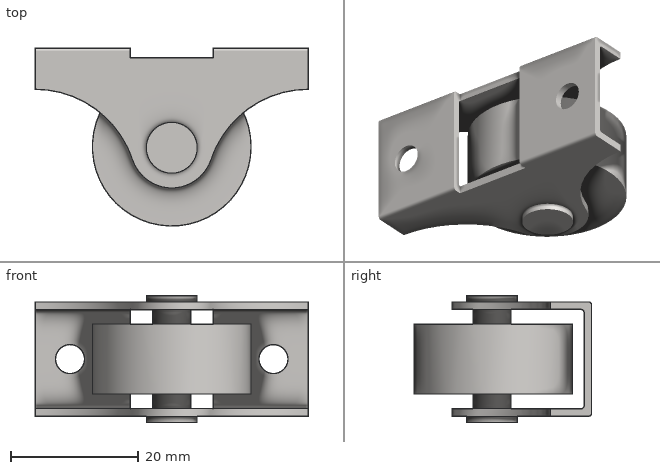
import cadquery as cq
import math

bracket_width = 43.0
bracket_height = 18.0
sheet = 1.2
bend_radius = 0.5

wheel_diameter = 25.0
wheel_height = 11.0
axle_diameter = 6.0
head_diameter = 8.0
axle_length = 20.0
axle_offset = 0.17

overall_depth = 28.0
back_y = overall_depth - wheel_diameter / 2
wing_depth = 6.5
lobe_radius = 6.5

notch_width = 13.0
notch_depth = 1.5
hole_diameter = 4.5
hole_spacing = 32.0


def cylinder(diameter, height):
    """Cylinder on the Z axis, centred on the mid-plane."""
    return cq.Workplane("XY").circle(diameter / 2).extrude(height / 2, both=True)


def cheek_outline():
    """Bracket outline: straight back, concave flanks flowing into a round lobe."""
    half = bracket_width / 2
    wing_y = back_y - wing_depth
    flank_radius = (half**2 + wing_y**2 - lobe_radius**2) / (2 * (lobe_radius + wing_y))
    flank_y = wing_y - flank_radius
    share = lobe_radius / (lobe_radius + flank_radius)
    join_x = half * share
    join_y = flank_y * share
    middle_angle = (math.pi / 2 + math.atan2(-flank_y, -half)) / 2
    middle_x = half + flank_radius * math.cos(middle_angle)
    middle_y = flank_y + flank_radius * math.sin(middle_angle)
    return (
        cq.Workplane("XY")
        .moveTo(-half, back_y)
        .lineTo(half, back_y)
        .lineTo(half, wing_y)
        .threePointArc((middle_x, middle_y), (join_x, join_y))
        .threePointArc((0, -lobe_radius), (-join_x, join_y))
        .threePointArc((-middle_x, middle_y), (-half, wing_y))
        .close()
    )


def make_bracket():
    body = cheek_outline().extrude(bracket_height / 2, both=True)
    body = body.edges("|X and >Y").fillet(bend_radius)

    hollow = (
        cq.Workplane("XY")
        .box(2 * bracket_width, overall_depth, bracket_height - 2 * sheet)
        .edges("|X and >Y")
        .fillet(bend_radius)
        .translate((0, back_y - sheet - overall_depth / 2, 0))
    )
    notch = cq.Workplane("XY").box(notch_width, 2 * notch_depth, bracket_height)
    notch = notch.translate((0, back_y, 0))
    holes = (
        cq.Workplane("XZ", origin=(0, back_y, 0))
        .pushPoints([(-hole_spacing / 2, 0), (hole_spacing / 2, 0)])
        .circle(hole_diameter / 2)
        .extrude(sheet)
    )
    return body.cut(hollow).cut(notch).cut(holes)


def make_axle():
    """Axle pin with a wider head on the outside of each cheek."""
    heads = cylinder(head_diameter, axle_length).cut(cylinder(head_diameter, bracket_height))
    axle = cylinder(axle_diameter, axle_length).union(heads)
    return axle.translate((0, -axle_offset, 0))


wheel = cylinder(wheel_diameter, wheel_height)
result = make_bracket().union(make_axle()).union(wheel)